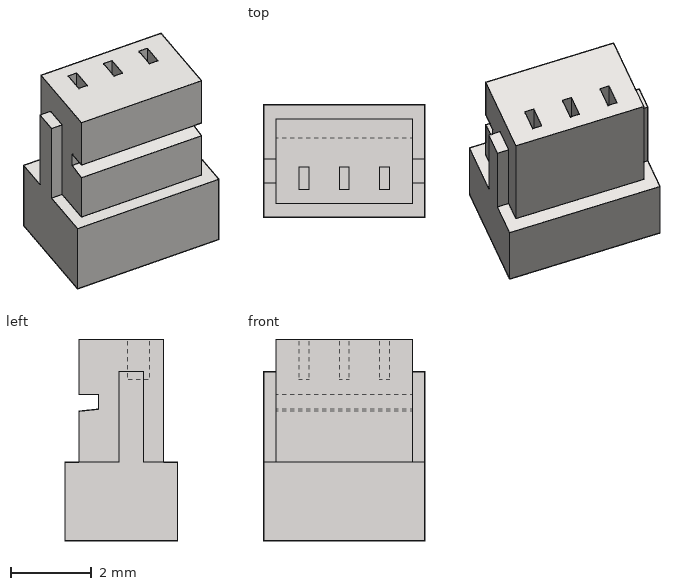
import cadquery as cq

BASE_WIDTH = 4.0
BASE_DEPTH = 2.8
BASE_HEIGHT = 1.95

BODY_WIDTH = 3.4
BODY_DEPTH = 2.1
TOTAL_HEIGHT = 5.0
BODY_FRONT_SETBACK = 0.35

RIB_DEPTH = 0.6
RIB_TOP = 4.2
RIB_FRONT_SETBACK = 0.85

SLOT_COUNT = 3
SLOT_PITCH = 1.0
SLOT_WIDTH = 0.24
SLOT_LENGTH = 0.55
SLOT_FRONT_SETBACK = 0.7
SLOT_DEPTH = 1.0

NOTCH_DEPTH = 0.48
NOTCH_TOP = 3.63
NOTCH_OUTER_BOTTOM = 3.22
NOTCH_INNER_BOTTOM = 3.27

FRONT_Y = -BASE_DEPTH / 2
BODY_BACK_Y = FRONT_Y + BODY_FRONT_SETBACK + BODY_DEPTH


def block(width, front_setback, depth, bottom, top, center_x=0.0):
    """Box centred on center_x, starting front_setback behind the base front."""
    return (
        cq.Workplane("XY")
        .box(width, depth, top - bottom, centered=(True, False, False))
        .translate((center_x, FRONT_Y + front_setback, bottom))
    )


def make_housing():
    """Base, plug body and the end ribs, which are flush with the base ends."""
    base = block(BASE_WIDTH, 0.0, BASE_DEPTH, 0.0, BASE_HEIGHT)
    body = block(BODY_WIDTH, BODY_FRONT_SETBACK, BODY_DEPTH, 0.0, TOTAL_HEIGHT)
    ribs = block(BASE_WIDTH, RIB_FRONT_SETBACK, RIB_DEPTH, 0.0, RIB_TOP)
    return base.union(body).union(ribs)


def cut_contact_slots(part):
    """Row of blind rectangular slots spaced along X."""
    for index in range(SLOT_COUNT):
        center_x = (index - (SLOT_COUNT - 1) / 2) * SLOT_PITCH
        slot = block(
            SLOT_WIDTH, SLOT_FRONT_SETBACK, SLOT_LENGTH,
            TOTAL_HEIGHT - SLOT_DEPTH, TOTAL_HEIGHT, center_x,
        )
        part = part.cut(slot)
    return part


def cut_latch_notch(part):
    """Notch through the full body width, with a floor that falls outward."""
    inner_y = BODY_BACK_Y - NOTCH_DEPTH
    notch = (
        cq.Workplane("YZ")
        .moveTo(inner_y, NOTCH_TOP)
        .lineTo(BODY_BACK_Y, NOTCH_TOP)
        .lineTo(BODY_BACK_Y, NOTCH_OUTER_BOTTOM)
        .lineTo(inner_y, NOTCH_INNER_BOTTOM)
        .close()
        .extrude(BODY_WIDTH / 2, both=True)
    )
    return part.cut(notch)


result = cut_latch_notch(cut_contact_slots(make_housing()))